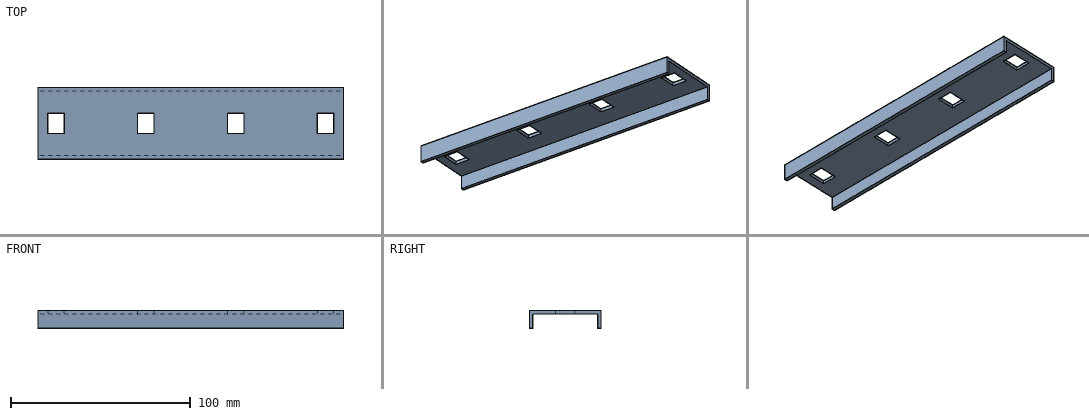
import cadquery as cq

length = 170.0
width = 40.0
height = 10.0
wall = 2.0

window_count = 4
window_pitch = 50.0
window_length = 9.0
window_width = 11.0


def make_channel():
    """Build the U-section, open at the bottom and at both ends."""
    body = cq.Workplane("XY").box(length, width, height, centered=(True, True, False))
    hollow = cq.Workplane("XY").box(
        length, width - 2 * wall, height - wall, centered=(True, True, False)
    )
    return body.cut(hollow)


def cut_windows(channel):
    """Cut the evenly spaced windows through the web."""
    return (
        channel.faces(">Z")
        .workplane(origin=(0, 0, height))
        .rarray(window_pitch, 1.7, window_count, 1)
        .rect(window_length, window_width)
        .cutBlind(-wall)
    )


result = cut_windows(make_channel())